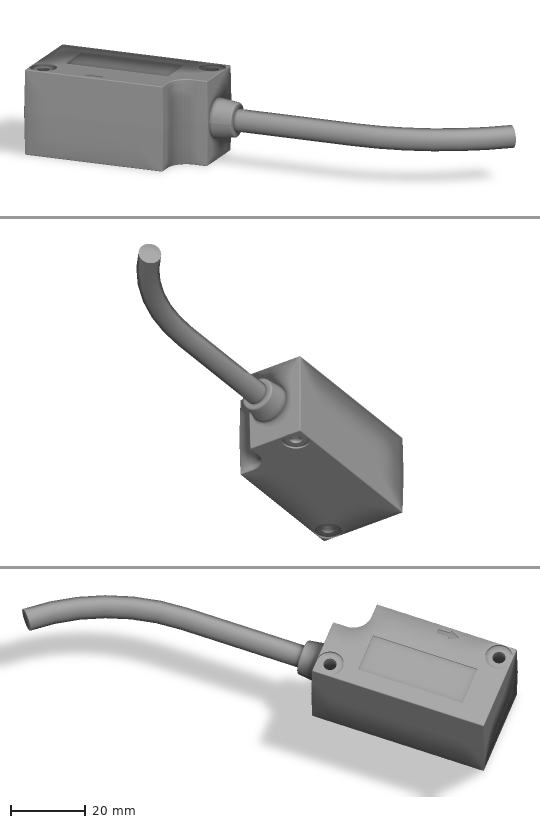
import cadquery as cq
import math


HOUSING_LENGTH = 49.9
HOUSING_TOP_Y = 10.0
HOUSING_BOTTOM_Y = -16.1
HALF_HEIGHT = 12.0
DRAFT = 1.0
STEP_LENGTH = 9.1
STEP_Y = -6.7
STEP_RADIUS = 5.0
HOUSING_EDGE_RADIUS = 0.3

SCREW_INSET_X = 4.0
SCREW_INSET_Y = 4.1
SCREW_DIAMETER = 3.6
COUNTERBORE_DIAMETER = 7.4
COUNTERBORE_DEPTH = 0.5
SCREW_CENTERS = [
    (SCREW_INSET_X, HOUSING_BOTTOM_Y + SCREW_INSET_Y),
    (HOUSING_LENGTH - SCREW_INSET_X, HOUSING_TOP_Y - SCREW_INSET_Y),
]

OUTLET_LENGTH = 6.1
OUTLET_BASE_RADIUS = 5.5
OUTLET_END_RADIUS = 4.8
OUTLET_EDGE_RADIUS = 0.5

LABEL_LENGTH = 30.1
LABEL_WIDTH = 11.4
LABEL_CENTER = (23.1, -0.7)
MARK_DEPTH = 0.3
ARROW_TIP = (16.1, -13.7)
ARROW_HEAD_LENGTH = 2.8
ARROW_HEAD_WIDTH = 2.9
ARROW_LENGTH = 6.2
ARROW_SHAFT_WIDTH = 1.3

CABLE_DIAMETER = 6.2
CABLE_BEND_RADIUS = 59.5
CABLE_BEND_ANGLE = 42.0
OVERALL_LENGTH = 132.1
CABLE_BEND_X = OVERALL_LENGTH - (CABLE_BEND_RADIUS + CABLE_DIAMETER / 2) * math.sin(
    math.radians(CABLE_BEND_ANGLE)
)


def half_block():
    """Drafted upper half of the housing, with the stepped corner, rounded except at the parting plane."""
    step_x = HOUSING_LENGTH - STEP_LENGTH
    arc_mid = STEP_RADIUS * (1 - math.sqrt(0.5))
    block = (
        cq.Workplane("XY")
        .moveTo(0, HOUSING_BOTTOM_Y)
        .lineTo(step_x, HOUSING_BOTTOM_Y)
        .lineTo(step_x, STEP_Y - STEP_RADIUS)
        .threePointArc(
            (step_x + arc_mid, STEP_Y - arc_mid),
            (step_x + STEP_RADIUS, STEP_Y),
        )
        .lineTo(HOUSING_LENGTH, STEP_Y)
        .lineTo(HOUSING_LENGTH, HOUSING_TOP_Y)
        .lineTo(0, HOUSING_TOP_Y)
        .close()
        .extrude(HALF_HEIGHT, taper=DRAFT)
    )
    return block.edges("not <Z").fillet(HOUSING_EDGE_RADIUS)


def half_outlet():
    """Upper half of the tapered outlet, rooted inside the drafted housing wall."""
    root = HALF_HEIGHT * math.tan(math.radians(DRAFT))
    outlet = (
        cq.Workplane("XY")
        .moveTo(HOUSING_LENGTH - root, 0)
        .lineTo(HOUSING_LENGTH - root, OUTLET_BASE_RADIUS)
        .lineTo(HOUSING_LENGTH, OUTLET_BASE_RADIUS)
        .lineTo(HOUSING_LENGTH + OUTLET_LENGTH, OUTLET_END_RADIUS)
        .lineTo(HOUSING_LENGTH + OUTLET_LENGTH, 0)
        .close()
        .revolve(360, (0, 0, 0), (1, 0, 0))
        .faces(">X")
        .edges()
        .fillet(OUTLET_EDGE_RADIUS)
    )
    length = HOUSING_LENGTH + OUTLET_LENGTH
    upper_side = cq.Workplane("XY").box(
        2 * length, 2 * length, length, centered=(True, True, False)
    )
    return outlet.intersect(upper_side)


def make_half_shell(cable):
    """Upper half shell with its screw holes and its half of the cable channel."""
    shell = half_block().union(half_outlet())
    shell = (
        shell.faces(">Z")
        .workplane(origin=(0, 0, HALF_HEIGHT))
        .pushPoints(SCREW_CENTERS)
        .cboreHole(SCREW_DIAMETER, COUNTERBORE_DIAMETER, COUNTERBORE_DEPTH)
    )
    return shell.cut(cable)


def label_recess():
    return (
        cq.Workplane("XY", origin=(0, 0, HALF_HEIGHT))
        .center(*LABEL_CENTER)
        .rect(LABEL_LENGTH, LABEL_WIDTH)
        .extrude(-MARK_DEPTH)
    )


def arrow_recess():
    """Arrow pointing along -X."""
    outline = [
        (0, 0),
        (ARROW_HEAD_LENGTH, ARROW_HEAD_WIDTH / 2),
        (ARROW_HEAD_LENGTH, ARROW_SHAFT_WIDTH / 2),
        (ARROW_LENGTH, ARROW_SHAFT_WIDTH / 2),
        (ARROW_LENGTH, -ARROW_SHAFT_WIDTH / 2),
        (ARROW_HEAD_LENGTH, -ARROW_SHAFT_WIDTH / 2),
        (ARROW_HEAD_LENGTH, -ARROW_HEAD_WIDTH / 2),
    ]
    return (
        cq.Workplane("XY", origin=(0, 0, HALF_HEIGHT))
        .center(*ARROW_TIP)
        .polyline(outline)
        .close()
        .extrude(-MARK_DEPTH)
    )


def make_cable():
    """Round cable from the housing wall, through the outlet and around the bend."""
    straight = (
        cq.Workplane("YZ", origin=(HOUSING_LENGTH, 0, 0))
        .circle(CABLE_DIAMETER / 2)
        .extrude(CABLE_BEND_X - HOUSING_LENGTH)
    )
    bend = (
        cq.Workplane("YZ", origin=(CABLE_BEND_X, 0, 0))
        .circle(CABLE_DIAMETER / 2)
        .revolve(CABLE_BEND_ANGLE, (CABLE_BEND_RADIUS, 0, 0), (CABLE_BEND_RADIUS, 1, 0))
    )
    return straight.union(bend)


cable = make_cable()
half_shell = make_half_shell(cable)
upper_shell = half_shell.cut(label_recess()).cut(arrow_recess())
lower_shell = half_shell.mirror("XY")

result = cq.Compound.makeCompound([upper_shell.val(), lower_shell.val(), cable.val()])